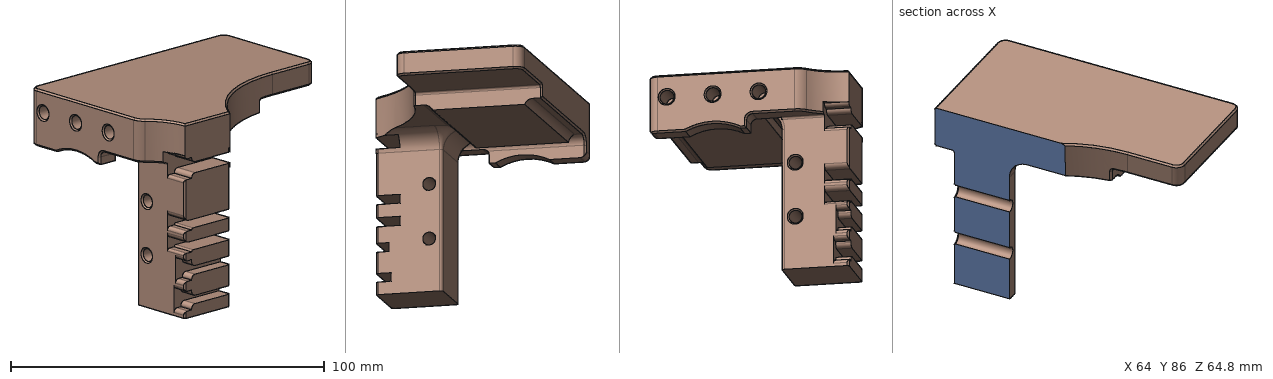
import cadquery as cq
import math


pick_margin = 0.1

plate_width = 42.0
plate_length = 86.0
wing_width = 64.0
corner_radius = 3.0
wing_front = 7.0
wing_back = 27.0
waist_start = 67.0
scallop_radius = 17.5
scallop_blend = 5.0
edge_chamfer = 0.6

total_height = 64.75
thin_depth = 7.8
thick_depth = 12.0
thick_end = 61.4
step_radius = 0.8

lip_depth = 19.0
lip_width = 32.0
lip_thickness = 7.0
lip_cove_radius = 3.0
lip_bottom_radius = 2.0
lip_notch_depth = 14.4
lip_notch_radius = 2.0
arch_center_x = 21.0
arch_radius = 20.0
arch_rise = 2.1

pad_depth = 13.8
pad_inset = 3.0
pad_cove_radius = 3.0

column_left = plate_width
column_edge_radius = 1.0
column_cove_radius = 6.4
lip_column_fillet = 0.7

front_hole_xs = (6.0, 21.0, 36.0)
front_hole_depth_z = 7.3
front_hole_diameter = 4.5
front_hole_depth = 10.0
column_hole_x = 46.45
column_hole_depths = (29.5, 47.4)
column_hole_diameter = 4.2
countersink = 0.5

slots = (
    (56.0, (10.5, 19.6), (11.7, 18.6), (13.3, 17.0)),
    (56.0, (30.6, 37.0), (32.3, 35.8), (32.3, 35.2)),
    (56.0, (37.9, 43.9), (39.5, 43.1), (39.5, 42.5)),
    (59.7, (44.5, 53.8), (45.7, 52.5), (47.9, 50.8)),
    (59.0, (54.7, 63.7), (55.8, 62.4), (57.8, 60.6)),
)
throat_lead_radius = 1.5
shoulder_y = wing_front + 3.0


def plate_outline():
    """Plate outline with the curved waist, rounded corners and front scallop."""
    rise = waist_start - wing_back
    run = wing_width - plate_width
    waist_radius = (rise ** 2 + run ** 2) / (2 * run)
    half_rise = rise / 2
    waist_mid_x = plate_width + waist_radius - math.sqrt(waist_radius ** 2 - half_rise ** 2)
    blank = (
        cq.Workplane("XY")
        .moveTo(0, 0)
        .lineTo(wing_width, 0)
        .lineTo(wing_width, wing_back)
        .threePointArc((waist_mid_x, waist_start - half_rise), (plate_width, waist_start))
        .lineTo(plate_width, plate_length)
        .lineTo(0, plate_length)
        .close()
        .extrude(-lip_depth)
    )
    corners = cq.selectors.BoxSelector(
        (-pick_margin, -pick_margin, -lip_depth), (pick_margin, plate_length + pick_margin, 0)
    )
    blank = blank.edges("|Z").edges(corners).fillet(corner_radius)
    blank = blank.edges("|Z").edges(">Y").edges(">X").fillet(corner_radius)
    scallop = (
        cq.Workplane("XY")
        .center(wing_width, wing_front - scallop_radius)
        .circle(scallop_radius)
        .extrude(-lip_depth)
    )
    blank = blank.cut(scallop)
    blend_x = wing_width - math.sqrt(scallop_radius ** 2 - (scallop_radius - wing_front) ** 2)
    blend_edge = cq.selectors.NearestToPointSelector((blend_x, 0, -lip_depth / 2))
    return blank.edges("|Z").edges(blend_edge).fillet(scallop_blend)


def side_profile():
    """Side shape of the plate: thin back, thick middle and deep front lip."""
    profile = (
        cq.Workplane("YZ")
        .moveTo(0, 0)
        .lineTo(plate_length, 0)
        .lineTo(plate_length, -thin_depth)
        .lineTo(thick_end, -thin_depth)
        .lineTo(thick_end, -thick_depth)
        .lineTo(lip_thickness, -thick_depth)
        .lineTo(lip_thickness, -lip_depth)
        .lineTo(0, -lip_depth)
        .close()
        .extrude(wing_width)
    )
    step_corner = cq.selectors.NearestToPointSelector((wing_width / 2, thick_end, -thin_depth))
    lip_corner = cq.selectors.NearestToPointSelector((wing_width / 2, lip_thickness, -thick_depth))
    profile = profile.edges("|X").edges(step_corner).fillet(step_radius)
    return profile.edges("|X").edges(lip_corner).fillet(lip_cove_radius)


def lip_cutter():
    """Removes the lip beyond its end and the arch in its underside."""
    notch = (
        cq.Workplane("XY")
        .box(wing_width, lip_thickness + lip_cove_radius, lip_depth, centered=False)
        .translate((lip_width, 0, -lip_notch_depth - lip_depth))
    )
    notch = notch.edges("|Y").edges("<X").edges(">Z").fillet(lip_notch_radius)
    arch = (
        cq.Workplane("XZ")
        .center(arch_center_x, -lip_depth + arch_rise - arch_radius)
        .circle(arch_radius)
        .extrude(-lip_thickness)
    )
    return notch.union(arch)


def lip_left_round():
    """Rounds the lower left edge of the lip."""
    return (
        cq.Workplane("XZ")
        .moveTo(0, -lip_depth + lip_bottom_radius)
        .radiusArc((lip_bottom_radius, -lip_depth), -lip_bottom_radius)
        .lineTo(0, -lip_depth)
        .close()
        .extrude(-lip_thickness)
    )


def make_plate():
    """Plate with its lip and the bevels along its top, left underside and front underside."""
    plate = plate_outline().intersect(side_profile())
    plate = plate.cut(lip_cutter())
    plate = plate.faces(">Z").edges().chamfer(edge_chamfer)
    left_underside = cq.selectors.BoxSelector(
        (-pick_margin, lip_thickness - pick_margin, -lip_depth),
        (pick_margin, plate_length, -2 * edge_chamfer),
    )
    plate_back = cq.selectors.BoxSelector(
        (-pick_margin, thick_end + pick_margin, -thick_depth), (pick_margin, plate_length, 0)
    )
    left_face = plate.faces("<X")
    underside_edges = left_face.edges("not(|Z)").edges(left_underside).vals()
    upright_edges = left_face.edges("|Z").edges(left_underside - plate_back).vals()
    plate = plate.newObject(underside_edges + upright_edges).chamfer(edge_chamfer)
    front_underside = cq.selectors.BoxSelector(
        (corner_radius, -pick_margin, -lip_depth - pick_margin),
        (wing_width, pick_margin, -lip_notch_depth + edge_chamfer),
    )
    front_bottom = plate.faces("<Y").edges("not(|Z)").edges(front_underside).vals()
    plate = plate.newObject(front_bottom).chamfer(edge_chamfer)
    return plate.cut(lip_left_round())


def make_pad():
    """Raised pad under the thick part, with a concave flank on its left and right."""
    drop = pad_depth - thick_depth
    pad = (
        cq.Workplane("XY")
        .box(plate_width - 2 * pad_inset, thick_end - lip_thickness, drop, centered=False)
        .translate((pad_inset, lip_thickness, -pad_depth))
    )
    for axis_x in (pad_inset, plate_width - pad_inset):
        cove = (
            cq.Workplane("XZ", origin=(axis_x, lip_thickness, -thick_depth - pad_cove_radius))
            .circle(pad_cove_radius)
            .extrude(lip_thickness - thick_end)
        )
        pad = pad.cut(cove)
    return pad


def make_column():
    """Column below the wing, with concave blends where it meets the underside of the plate."""
    blend_size = column_cove_radius + column_edge_radius
    width = wing_width - column_left
    length = wing_back - wing_front
    depth = total_height - thick_depth
    shaft = (
        cq.Workplane("XY")
        .box(width, length, depth, centered=False)
        .translate((column_left, wing_front, -total_height))
    )
    shaft = shaft.edges("|Z").edges("<X and >Y").fillet(column_edge_radius)
    slab = (
        cq.Workplane("XY")
        .box(width + blend_size, length + blend_size, edge_chamfer, centered=False)
        .translate((column_left - blend_size, wing_front, -thick_depth))
    )
    joint = cq.selectors.BoxSelector(
        (column_left - pick_margin, wing_front + pick_margin, -thick_depth - pick_margin),
        (wing_width - pick_margin, wing_back + pick_margin, -thick_depth + pick_margin),
    )
    column = shaft.union(slab).edges(joint).fillet(column_cove_radius)
    column = column.cut(slab)
    front_left = cq.selectors.BoxSelector(
        (column_left - blend_size, wing_front - pick_margin, -total_height + pick_margin),
        (column_left + pick_margin, wing_front + pick_margin, -thick_depth - pick_margin),
    )
    column = column.edges(front_left).fillet(column_edge_radius)
    return column.cut(outside_outline()).cut(column_right_edges())


def column_right_edges():
    """Corner wedges that chamfer the two right-hand edges of the column."""
    wedges = []
    for corner_y, inward in ((wing_front, 1), (wing_back, -1)):
        wedge = (
            cq.Workplane("XY", origin=(wing_width, corner_y, -total_height))
            .moveTo(0, 0)
            .lineTo(-edge_chamfer, 0)
            .lineTo(0, inward * edge_chamfer)
            .close()
            .extrude(total_height - thick_depth)
        )
        wedges.append(wedge)
    return wedges[0].union(wedges[1])


def outside_outline():
    """Everything beyond the plate outline, over the depth of the lip."""
    surround = (
        cq.Workplane("XY")
        .box(2 * wing_width, plate_length, lip_depth, centered=False)
        .translate((0, wing_front, -lip_depth))
    )
    return surround.cut(plate_outline())


def make_lip_fillet():
    """Small concave fillet between the underside of the lip and the front of the column."""
    strip = (
        cq.Workplane("YZ", origin=(column_left, 0, 0))
        .moveTo(wing_front, -lip_notch_depth)
        .lineTo(wing_front - lip_column_fillet, -lip_notch_depth)
        .radiusArc((wing_front, -lip_notch_depth - lip_column_fillet), lip_column_fillet)
        .close()
        .extrude(wing_width - column_left)
    )
    return strip.intersect(plate_outline())


def make_passage(floor_x, span, start_y, end_y):
    """Rectangular opening between two depths, running in Y and open to the right."""
    top, bottom = span
    return (
        cq.Workplane("XY")
        .box(wing_width - floor_x, end_y - start_y, bottom - top, centered=False)
        .translate((floor_x, start_y, -bottom))
    )


def make_lead_in(floor_x, wall_depth, offset, start_y):
    """Rounds the front edge of a slot wall; offset is signed, positive for a lower wall."""
    radius = abs(offset)
    return (
        cq.Workplane("YZ", origin=(floor_x, 0, 0))
        .moveTo(start_y, -wall_depth)
        .lineTo(start_y, -wall_depth - offset)
        .radiusArc((start_y + radius, -wall_depth), offset)
        .close()
        .extrude(wing_width - floor_x)
    )


def make_slot(floor_x, mouth, shoulder, throat):
    """Slot through the wing, narrowing in two rounded steps from front to back."""
    slot = make_passage(floor_x, mouth, 0, wing_front)
    slot = slot.union(make_passage(floor_x, shoulder, wing_front, shoulder_y))
    slot = slot.union(make_passage(floor_x, throat, shoulder_y, plate_length))
    for outer, wall, inner in zip(mouth, shoulder, throat):
        slot = slot.union(make_lead_in(floor_x, wall, outer - wall, wing_front))
        step = wall - inner
        if step != 0:
            offset = math.copysign(min(abs(step), throat_lead_radius), step)
            slot = slot.union(make_lead_in(floor_x, inner, offset, shoulder_y))
    return slot


def make_hole(x, depth_z, start_y, diameter, length):
    """Countersunk hole running back from a front face."""
    radius = diameter / 2
    hole = cq.Workplane("XZ", origin=(x, start_y, -depth_z)).circle(radius).extrude(-length)
    sink = cq.Solid.makeCone(
        radius + countersink, radius, countersink, cq.Vector(x, start_y, -depth_z), cq.Vector(0, 1, 0)
    )
    return hole.union(cq.Workplane(sink))


result = make_plate().union(make_pad()).union(make_column()).union(make_lip_fillet())
for slot in slots:
    result = result.cut(make_slot(*slot))
for hole_x in front_hole_xs:
    result = result.cut(make_hole(hole_x, front_hole_depth_z, 0, front_hole_diameter, front_hole_depth))
for hole_depth_z in column_hole_depths:
    result = result.cut(
        make_hole(column_hole_x, hole_depth_z, wing_front, column_hole_diameter, wing_back - wing_front)
    )